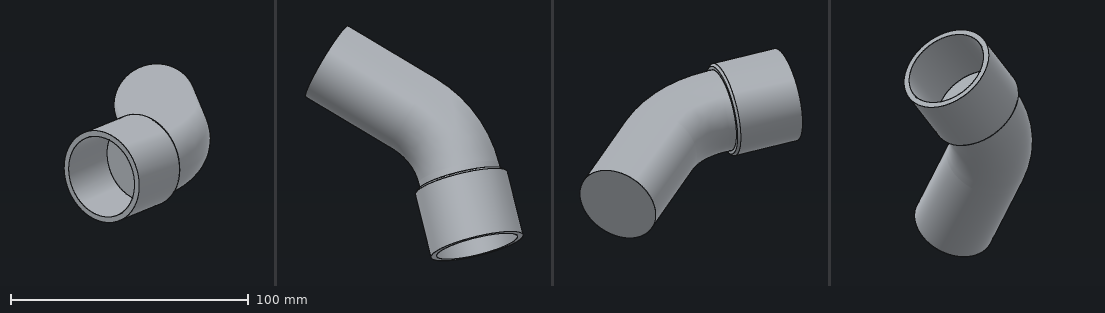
import cadquery as cq
import math

overall_length = 104.5
pipe_diameter = 35.0
socket_diameter = 40.0
socket_length = 28.9
socket_chamfer = 1.0
neck_length = 3.0
bend_radius = 42.1
bend_angle = 45.0

socket_floor = (socket_diameter - pipe_diameter) / 2
socket_bore_depth = socket_length - socket_floor
bend_start_y = socket_length + neck_length
bend_radians = math.radians(bend_angle)
bend_end_x = -bend_radius * (1 - math.cos(bend_radians))
bend_end_y = bend_start_y + bend_radius * math.sin(bend_radians)

end_edge_rise = pipe_diameter / 2 * math.sin(bend_radians)
spigot_length = (overall_length - bend_end_y - end_edge_rise) / math.cos(bend_radians)
spigot_direction = (-math.sin(bend_radians), math.cos(bend_radians), 0)


def cylinder(diameter, length, start, direction):
    """Solid round bar running from a start point along a direction."""
    return cq.Workplane(cq.Solid.makeCylinder(
        diameter / 2, length, cq.Vector(*start), cq.Vector(*direction)))


def make_socket():
    """Outer socket body with its shoulder edge chamfered."""
    body = cylinder(socket_diameter, socket_length, (0, 0, 0), (0, 1, 0))
    return body.faces(">Y").edges().chamfer(socket_chamfer)


def make_bend():
    """Pipe section revolved about a Z-parallel axis through the bend centre."""
    return (
        cq.Workplane("XZ", origin=(0, bend_start_y, 0))
        .circle(pipe_diameter / 2)
        .revolve(bend_angle, (-bend_radius, 0), (-bend_radius, 1))
    )


neck = cylinder(pipe_diameter, neck_length, (0, socket_length, 0), (0, 1, 0))
spigot = cylinder(pipe_diameter, spigot_length, (bend_end_x, bend_end_y, 0), spigot_direction)
socket_bore = cylinder(pipe_diameter, socket_bore_depth, (0, 0, 0), (0, 1, 0))

result = make_socket().union(neck).union(make_bend()).union(spigot).cut(socket_bore)